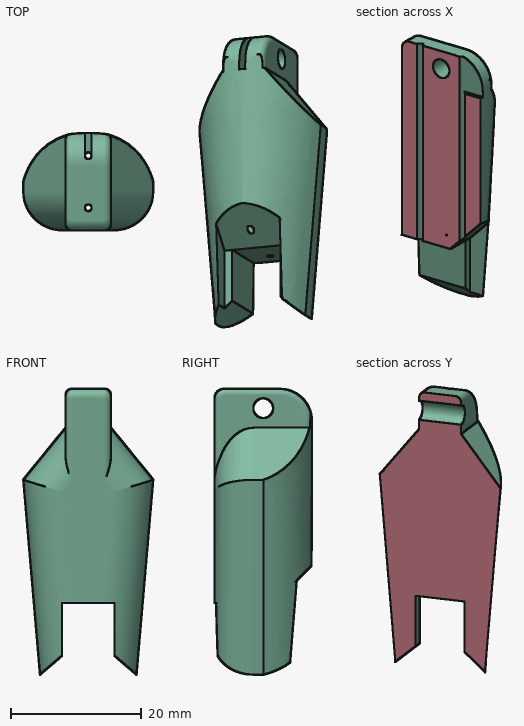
import cadquery as cq


half_width = 10.0
tip_half_width = 7.43
front_radius = 6.0
front_y = -front_radius
back_y = 9.0
tip_z = -29.94
side_slope = (half_width - tip_half_width) / -tip_z

back_seam_y = 1.5
back_center_y = (back_y**2 - half_width**2 - back_seam_y**2) / (2 * (back_y - back_seam_y))
back_radius = back_y - back_center_y

handle_half_width = 3.5
handle_top_z = 14.0
handle_root_z = -2.0
handle_back_radius = 5.0
handle_front_radius = 1.5
handle_side_radius = 1.0
shoulder_top_z = 8.0

pin_diameter = 3.0
pin_y = 1.5
pin_depth = 3.0
pin_z = handle_top_z - pin_depth
cord_diameter = 1.0
back_cord_y = 5.5
cord_positions_y = (-2.5, back_cord_y)
groove_floor_z = shoulder_top_z

slot_half_width = 4.0
slot_ceiling_z = -18.94
fork_inner_z = -27.0
relief_half_width = 5.25
relief_start_y = 3.2

margin = 5.0


def side_x(z):
    """Half width of the tapered sides at height z."""
    return half_width + side_slope * z


def tapered_body():
    """Tapered block with sloped shoulders, rounded into the flat front."""
    block = (
        cq.Workplane("XZ", origin=(0, front_y, 0))
        .moveTo(-tip_half_width, tip_z)
        .lineTo(-half_width, 0)
        .lineTo(-handle_half_width, shoulder_top_z)
        .lineTo(handle_half_width, shoulder_top_z)
        .lineTo(half_width, 0)
        .lineTo(tip_half_width, tip_z)
        .close()
        .extrude(-(back_y - front_y))
    )
    return block.faces("<Y").edges("not <Z").fillet(front_radius)


def handle():
    """Upright tab with a large back-top rounding and softened side edges."""
    tab = cq.Workplane("XY").box(
        2 * handle_half_width,
        back_y - front_y,
        handle_top_z - handle_root_z,
        centered=(True, False, False),
    ).translate((0, front_y, handle_root_z))
    tab = tab.edges(">Z and >Y").fillet(handle_back_radius)
    tab = tab.edges(">Z and <Y").fillet(handle_front_radius)
    return tab.faces("<X or >X").edges("not <Z").fillet(handle_side_radius)


def back_skin(side):
    """Envelope whose back arc follows the taper of one side (side = 1 or -1)."""
    arc_center_x = side_x(tip_z) - half_width
    outer_x = arc_center_x + back_radius
    inner_x = -2 * half_width
    height = handle_top_z - tip_z
    diagonal = back_radius * 0.5**0.5
    profile = (
        cq.Workplane("XY", origin=(0, 0, tip_z))
        .moveTo(inner_x, front_y - margin)
        .lineTo(outer_x, front_y - margin)
        .lineTo(outer_x, back_center_y)
        .threePointArc(
            (arc_center_x + diagonal, back_center_y + diagonal),
            (arc_center_x, back_y),
        )
        .lineTo(inner_x, back_y)
        .close()
        .wire()
        .val()
    )
    direction = cq.Vector(side_slope * height, 0, height)
    skin = cq.Workplane(obj=cq.Solid.extrudeLinear(profile, [], direction))
    return skin if side > 0 else skin.mirror("YZ")


def fork_slot():
    """Slot through the full depth, with leg ends sloping down and outwards from it."""
    return (
        cq.Workplane("XZ", origin=(0, front_y - margin, 0))
        .moveTo(-slot_half_width, slot_ceiling_z)
        .lineTo(slot_half_width, slot_ceiling_z)
        .lineTo(slot_half_width, fork_inner_z)
        .lineTo(tip_half_width, tip_z)
        .lineTo(-tip_half_width, tip_z)
        .lineTo(-slot_half_width, fork_inner_z)
        .close()
        .extrude(-(back_y - front_y + 2 * margin))
    )


def back_relief():
    """Wider opening at the back of the slot, with a ceiling rising backwards at 45 degrees."""
    end_y = back_y + margin
    return (
        cq.Workplane("YZ")
        .moveTo(relief_start_y, slot_ceiling_z)
        .lineTo(end_y, slot_ceiling_z + end_y - relief_start_y)
        .lineTo(end_y, tip_z)
        .lineTo(relief_start_y, tip_z)
        .close()
        .extrude(relief_half_width, both=True)
    )


def pin_hole():
    """Cross hole through the handle along X."""
    return (
        cq.Workplane("YZ")
        .center(pin_y, pin_z)
        .circle(pin_diameter / 2)
        .extrude(half_width, both=True)
    )


def cord_holes():
    """Vertical holes from the handle top into the fork slot."""
    return (
        cq.Workplane("XY", origin=(0, 0, slot_ceiling_z - margin))
        .pushPoints([(0, y) for y in cord_positions_y])
        .circle(cord_diameter / 2)
        .extrude(handle_top_z - slot_ceiling_z + 2 * margin)
    )


def cord_groove():
    """Groove from the back cord hole out through the back of the handle."""
    return cq.Workplane("XY").box(
        cord_diameter,
        back_y + margin - back_cord_y,
        handle_top_z + margin - groove_floor_z,
        centered=(True, False, False),
    ).translate((0, back_cord_y, groove_floor_z))


result = tapered_body().union(handle())
for side in (1, -1):
    result = result.intersect(back_skin(side))
for cutter in (fork_slot(), back_relief(), pin_hole(), cord_holes(), cord_groove()):
    result = result.cut(cutter)